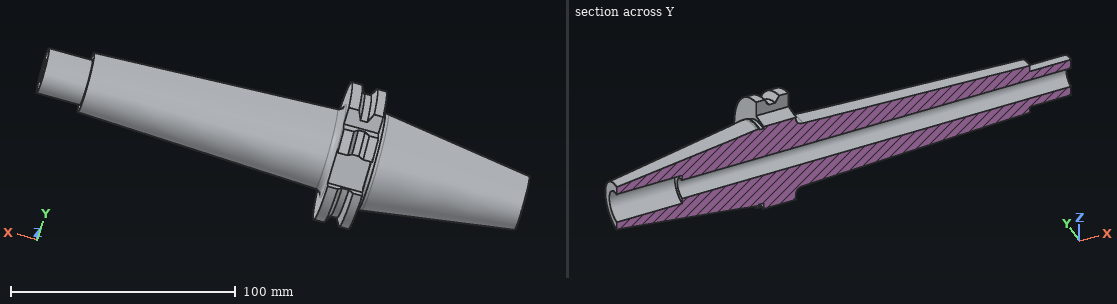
import cadquery as cq
import math

total_length = 221.7
gauge_x = 68.3
gauge_land_end_x = 69.6
flange_start_x = 71.5
flange_end_x = 87.5
shank_end_x = 201.7

taper_small_radius = 12.5
gauge_radius = 22.28
relief_radius = 21.84
flange_radius = 31.81
shank_large_radius = 18.5
shank_small_radius = 13.7
tail_radius = 10.5
neck_fillet = 3.0

groove_center_x = 79.4
groove_mouth_width = 7.0
groove_floor_radius = 28.4
groove_flank_angle = math.radians(30)

through_radius = 5.2
counterbore_radius = 8.0
counterbore_depth = 32.0

slot_width = 16.2
top_slot_height = 22.8
bottom_slot_height = 25.0
notch_y = 18.2
notch_z = 18.2

flange_width = flange_end_x - flange_start_x


def make_body():
    """Revolve the tapered holder and its flange about the X axis."""
    mouth_half = groove_mouth_width / 2
    flank_run = (flange_radius - groove_floor_radius) * math.tan(groove_flank_angle)
    floor_half = mouth_half - flank_run
    fillet_end_x = flange_end_x + neck_fillet
    fillet_top_radius = shank_large_radius + neck_fillet
    arc_offset = neck_fillet * (1 - math.sqrt(0.5))
    return (
        cq.Workplane("XY")
        .moveTo(0, 0)
        .lineTo(0, taper_small_radius)
        .lineTo(gauge_x, gauge_radius)
        .lineTo(gauge_land_end_x, gauge_radius)
        .lineTo(gauge_land_end_x, relief_radius)
        .lineTo(flange_start_x, relief_radius)
        .lineTo(flange_start_x, flange_radius)
        .lineTo(groove_center_x - mouth_half, flange_radius)
        .lineTo(groove_center_x - floor_half, groove_floor_radius)
        .lineTo(groove_center_x + floor_half, groove_floor_radius)
        .lineTo(groove_center_x + mouth_half, flange_radius)
        .lineTo(flange_end_x, flange_radius)
        .lineTo(flange_end_x, fillet_top_radius)
        .threePointArc(
            (flange_end_x + arc_offset, shank_large_radius + arc_offset),
            (fillet_end_x, shank_large_radius),
        )
        .lineTo(shank_end_x, shank_small_radius)
        .lineTo(shank_end_x, tail_radius)
        .lineTo(total_length, tail_radius)
        .lineTo(total_length, 0)
        .close()
        .revolve(360, (0, 0, 0), (1, 0, 0))
    )


def make_bore(radius, depth):
    """Round cutter entering from the small end of the machine taper."""
    return cq.Workplane("YZ").circle(radius).extrude(depth)


def flange_cutter(y_min, y_max, z_min, z_max):
    """Box spanning the flange width."""
    return (
        cq.Workplane("XY")
        .box(flange_width, y_max - y_min, z_max - z_min, centered=False)
        .translate((flange_start_x, y_min, z_min))
    )


half_slot = slot_width / 2
cutters = [
    make_bore(through_radius, total_length),
    make_bore(counterbore_radius, counterbore_depth),
    flange_cutter(-half_slot, half_slot, top_slot_height, flange_radius),
    flange_cutter(-half_slot, half_slot, -flange_radius, -bottom_slot_height),
    flange_cutter(notch_y, flange_radius, -flange_radius, -notch_z),
]

result = make_body()
for cutter in cutters:
    result = result.cut(cutter)